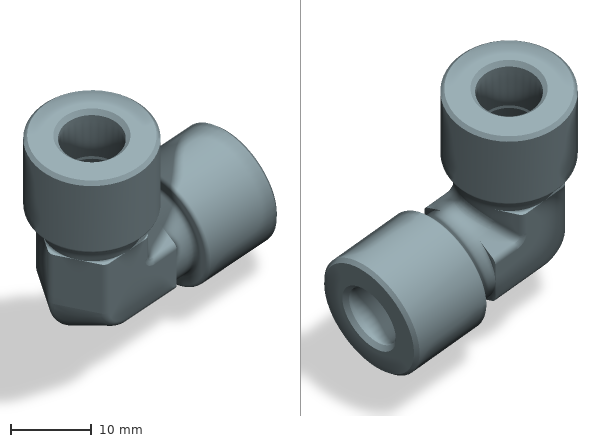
import cadquery as cq
import math

overall = 32.5
collar_diameter = 17.0
collar_radius = collar_diameter / 2
arm_length = overall - collar_radius
collar_length = 12.22
collar_start = arm_length - collar_length
edge_break = 0.5

neck_radius = 6.35
block_end = 8.45
corner_round = 1.0

passage_radius = 3.77
port_mouth_radius = 4.78
port_radius = 4.2
port_inner_radius = 4.0
port_depth = 7.48

NEAR = 0.003


def along_y(shape):
    """Mirror image of an upright shape across the plane Y = Z, lying along +Y."""
    return shape.rotate((0, 0, 0), (1, 0, 0), -90).mirror("XY")


def hexagon_corner(angle):
    """Corner of the hexagon at an angle in degrees from +X; its flats touch the neck circle."""
    radius = neck_radius / math.cos(math.radians(30))
    return (radius * math.cos(math.radians(angle)), radius * math.sin(math.radians(angle)))


def make_block_arm():
    """Upright half of the block: hexagon whose inner (+Y) corner is rounded to the neck radius."""
    tangent_angle = math.radians(60)
    tangent_x = neck_radius * math.cos(tangent_angle)
    tangent_y = neck_radius * math.sin(tangent_angle)
    return (
        cq.Workplane("XY")
        .moveTo(-tangent_x, tangent_y)
        .lineTo(*hexagon_corner(150))
        .lineTo(*hexagon_corner(210))
        .lineTo(*hexagon_corner(270))
        .lineTo(*hexagon_corner(330))
        .lineTo(*hexagon_corner(30))
        .lineTo(tangent_x, tangent_y)
        .threePointArc((0, neck_radius), (-tangent_x, tangent_y))
        .close()
        .extrude(block_end)
    )


def make_outer_bend():
    """Outer half of the hexagon swept a quarter turn about X."""
    return (
        cq.Workplane("XY")
        .moveTo(-neck_radius, 0)
        .lineTo(*hexagon_corner(210))
        .lineTo(*hexagon_corner(270))
        .lineTo(*hexagon_corner(330))
        .lineTo(neck_radius, 0)
        .close()
        .revolve(90, (0, 0, 0), (1, 0, 0))
    )


def on_crease(edge):
    """True for edges in the plane Y = Z on the inside of the elbow."""
    samples = [edge.positionAt(t) for t in (0, 0.5, 1)]
    return all(p.y > NEAR and abs(p.y - p.z) < NEAR for p in samples)


def on_corner(edge):
    """True for edges running lengthwise along the hexagon corners."""
    samples = [edge.positionAt(t) for t in (0, 0.5, 1)]
    at_side = all(abs(abs(p.x) - neck_radius) < NEAR for p in samples)
    at_middle = all(abs(p.x) < NEAR for p in samples)
    on_y_end = all(p.y > block_end - NEAR for p in samples)
    on_z_end = all(p.z > block_end - NEAR for p in samples)
    return (at_side or at_middle) and not (on_y_end or on_z_end)


def round_edges(body, wanted):
    chosen = [edge for edge in body.edges().vals() if wanted(edge)]
    return body.newObject(chosen).fillet(corner_round)


def make_block():
    arm = make_block_arm()
    block = arm.union(along_y(arm)).union(make_outer_bend())
    block = round_edges(block, on_crease)
    return round_edges(block, on_corner)


def make_neck_and_collar():
    """Upright neck, flared into the chamfered and rounded collar."""
    root_start = collar_start - edge_break
    slant = edge_break * math.sin(math.radians(45))
    root_mid = (neck_radius + edge_break - slant, root_start + slant)
    back_mid = (collar_radius - edge_break + slant, collar_start + edge_break - slant)
    return (
        cq.Workplane("XZ")
        .moveTo(0, block_end)
        .lineTo(neck_radius, block_end)
        .lineTo(neck_radius, root_start)
        .threePointArc(root_mid, (neck_radius + edge_break, collar_start))
        .lineTo(collar_radius - edge_break, collar_start)
        .threePointArc(back_mid, (collar_radius, collar_start + edge_break))
        .lineTo(collar_radius, arm_length - edge_break)
        .lineTo(collar_radius - edge_break, arm_length)
        .lineTo(0, arm_length)
        .close()
        .revolve(360, (0, 0, 0), (0, 1, 0))
    )


def make_passage():
    """Upright bore from the elbow centre: plain passage, tapered port and countersunk mouth."""
    mouth_start = arm_length - (port_mouth_radius - port_radius)
    port_start = arm_length - port_depth
    port_lead = port_start - (port_inner_radius - passage_radius)
    return (
        cq.Workplane("XZ")
        .moveTo(0, 0)
        .lineTo(passage_radius, 0)
        .lineTo(passage_radius, port_lead)
        .lineTo(port_inner_radius, port_start)
        .lineTo(port_radius, mouth_start)
        .lineTo(port_mouth_radius, arm_length)
        .lineTo(0, arm_length)
        .close()
        .revolve(360, (0, 0, 0), (0, 1, 0))
    )


end_fitting = make_neck_and_collar()
passage = make_passage()
passage_bend = cq.Workplane("XY").sphere(passage_radius)

result = make_block().union(end_fitting).union(along_y(end_fitting))
result = result.cut(passage).cut(along_y(passage)).cut(passage_bend)